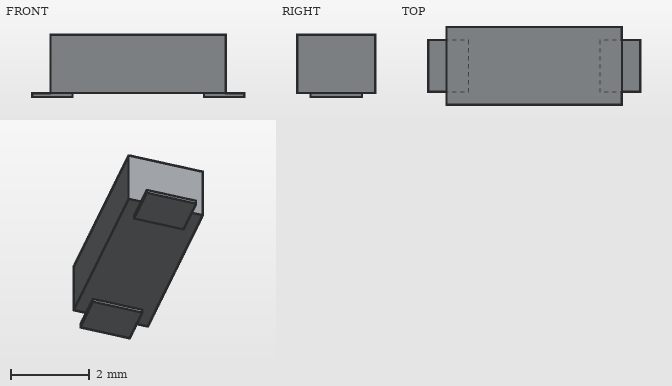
import cadquery as cq

overall_length = 5.44
overall_height = 1.6

body_length = 4.5
body_width = 2.0

lead_length = 1.04
lead_width = 1.335
lead_thickness = 0.1

body_height = overall_height - lead_thickness
lead_center_x = (overall_length - lead_length) / 2


def make_body():
    """Plain block resting on top of the leads."""
    return (
        cq.Workplane("XY")
        .workplane(offset=lead_thickness)
        .rect(body_length, body_width)
        .extrude(body_height)
    )


def make_lead(side):
    """Flat strip reaching out from under the body; side is -1 or +1 along X."""
    return (
        cq.Workplane("XY")
        .center(side * lead_center_x, 0)
        .rect(lead_length, lead_width)
        .extrude(lead_thickness)
    )


body = make_body()
leads = [make_lead(side).val() for side in (-1, 1)]

result = cq.Compound.makeCompound([body.val(), *leads])